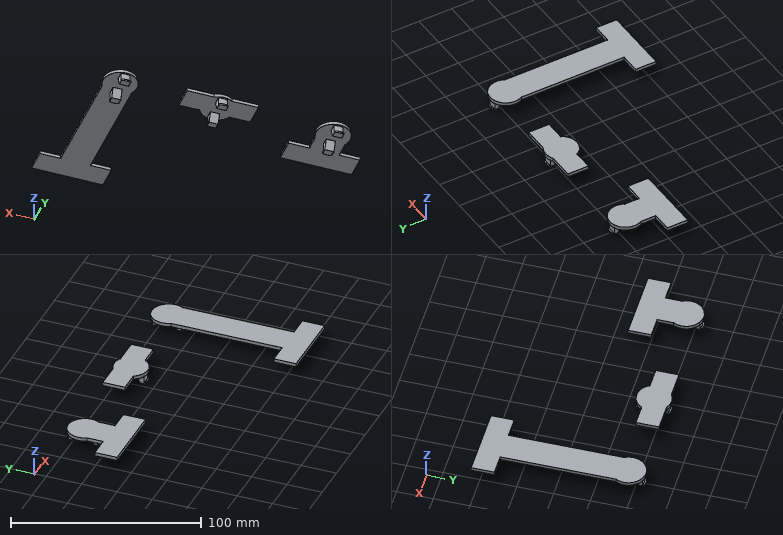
import cadquery as cq

plate_thickness = 2.0
bar_length = 40.1
bar_width = 12.8
head_radius = 9.6
stem_width = 16.8

leg_width = 5.1
leg_drop = 5.5
leg_root_depth = 5.9
leg_tip_depth = 3.7
lip_overhang = 1.0
lip_height = 1.0

overall_length = 159.7
overall_width = 90.0
short_clip_x = bar_length / 2
middle_clip_x = 84.8
long_clip_x = overall_length - bar_length / 2
short_head_y = 79.4
middle_head_y = 79.4
long_head_y = overall_width - head_radius
short_bar_y = 59.4
middle_bar_y = 81.1
long_bar_y = bar_width / 2


def make_leg():
    """One leg on the +Y side of a head centred at the origin, with a rounded outer face and hooked lip."""
    root_y = head_radius - leg_root_depth
    tip_y = head_radius - leg_tip_depth
    wedge = (
        cq.Workplane("YZ")
        .polyline([(root_y, 0), (head_radius, 0), (head_radius, -leg_drop), (tip_y, -leg_drop)])
        .close()
        .extrude(leg_width / 2, both=True)
    )
    shank = cq.Workplane("XY").circle(head_radius - lip_overhang).extrude(-leg_drop)
    lip = cq.Workplane("XY", origin=(0, 0, -leg_drop)).circle(head_radius).extrude(lip_height)
    return wedge.intersect(shank.union(lip))


def make_clip(center_x, head_y, bar_y):
    """A crossbar joined to a round head by a stem, with two opposed snap legs under the head."""
    bar = cq.Workplane("XY").center(center_x, bar_y).rect(bar_length, bar_width).extrude(plate_thickness)
    head = cq.Workplane("XY").center(center_x, head_y).circle(head_radius).extrude(plate_thickness)
    clip = bar.union(head)

    stem_length = head_y - bar_y
    if stem_length > head_radius:
        stem_y = (head_y + bar_y) / 2
        stem = cq.Workplane("XY").center(center_x, stem_y).rect(stem_width, stem_length).extrude(plate_thickness)
        clip = clip.union(stem)

    leg = make_leg()
    for angle in (0, 180):
        placed_leg = leg.rotate((0, 0, 0), (0, 0, 1), angle).translate((center_x, head_y, 0))
        clip = clip.union(placed_leg)
    return clip


short_clip = make_clip(short_clip_x, short_head_y, short_bar_y)
middle_clip = make_clip(middle_clip_x, middle_head_y, middle_bar_y)
long_clip = make_clip(long_clip_x, long_head_y, long_bar_y)

result = cq.Compound.makeCompound([short_clip.val(), middle_clip.val(), long_clip.val()])